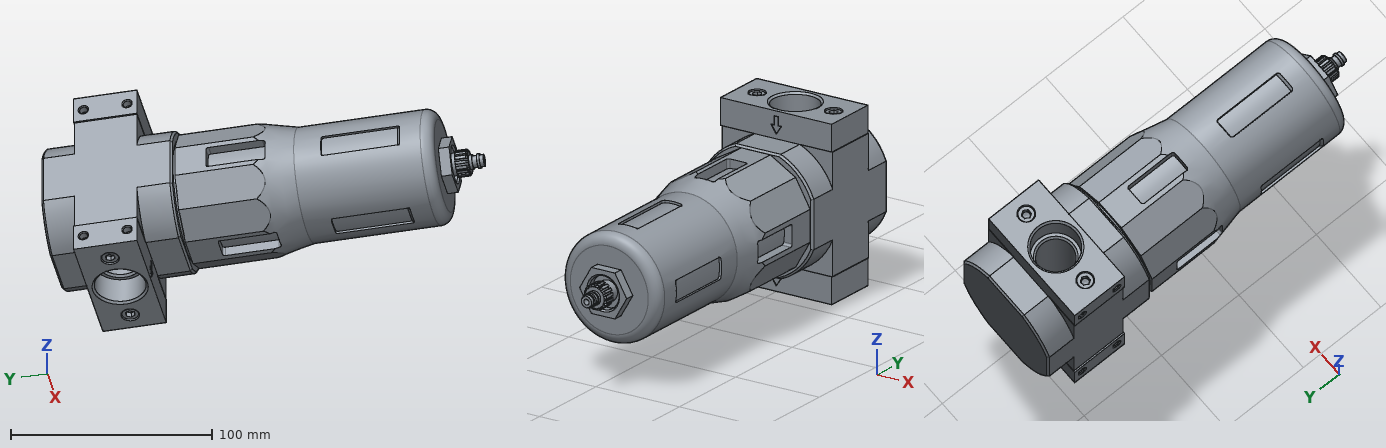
import cadquery as cq
import math


HOUSING_SIZE = 66.3
HOUSING_RADIUS = 35.8
HOUSING_TOP = 32.7
HOUSING_BOTTOM = -33.8
HOUSING_CHAMFER = 1.0
BLOCK_LENGTH = 31.8
PASSAGE_RADIUS = 10.0
PASSAGE_CHAMFER = 1.0

OVERALL_HEIGHT = 96.0
PLATE_LENGTH = 32.3
PLATE_LEFT = -34.0
PLATE_RIGHT = 32.7
PLATE_BASE = HOUSING_SIZE / 2
PLATE_THICKNESS = OVERALL_HEIGHT / 2 - PLATE_BASE
PORT_RADIUS = 12.9
PORT_CHAMFER = 1.0
SIDE_HOLE_DIAMETER = 4.1
SIDE_HOLE_MOUTH_DIAMETER = 5.2
SIDE_HOLE_SPACING = 22.2
SIDE_HOLE_Z = 40.1
SIDE_HOLE_DEPTH = 4.4
POINT_ANGLE = 118
ARROW_DEPTH = 0.5
ARROW_LENGTH = 9.4
ARROW_HEAD_LENGTH = 4.5
ARROW_HEAD_WIDTH = 6.0
ARROW_SHAFT_WIDTH = 2.5
ARROW_Z = 40.3

SCREW_X = 22.9
SCREW_HEAD_RADIUS = 4.1
SCREW_BORE_RADIUS = 4.5
SCREW_HEAD_HEIGHT = 5.2
SCREW_HEAD_SINK = 0.7
SCREW_SHANK_RADIUS = 2.6
SCREW_THREAD_DEPTH = 6.5
SOCKET_DIAMETER = 5.0
SOCKET_DEPTH = 2.6
SOCKET_POINT_DIAMETER = 4.1

NECK_RADIUS = 31.0
COLLAR_SIDES = 12
COLLAR_ACROSS_FLATS = 65.2
COLLAR_CORNER_RADIUS = COLLAR_ACROSS_FLATS / 2 / math.cos(math.pi / COLLAR_SIDES)
COLLAR_TOP = -35.0
SHOULDER_TOP_RADIUS = 34.2
SHOULDER_TOP = -72.8
SHOULDER_BOTTOM = -94.8
BOWL_RADIUS = 29.2
BOWL_BOTTOM = -165.0
BOWL_FILLET = 5.9

WINDOW_COUNT = 4
WINDOW_WIDTH = 12.0
WINDOW_CORNER = 1.3
WINDOW_FLOOR_RADIUS = 28.0
COLLAR_WINDOW_TOP = -51.0
COLLAR_WINDOW_BOTTOM = -80.9
BOWL_WINDOW_TOP = -108.5
BOWL_WINDOW_BOTTOM = -148.7
BOWL_WINDOW_SILL = 1.3

HEX_ACROSS_FLATS = 24.5
HEX_HEIGHT = 5.5
HEX_BOTTOM = BOWL_BOTTOM - HEX_HEIGHT
HEX_RECESS_RADIUS = 9.0
HEX_RECESS_DEPTH = 4.4
HEX_RECESS_CHAMFER = 0.9

DRAIN_STEM_RADIUS = 5.7
KNOB_RADIUS = 6.8
KNOB_TOP = -171.5
KNOB_BOTTOM = -178.0
KNOB_CHAMFER = 0.9
KNURL_COUNT = 16
KNURL_WIDTH = 1.0
DRAIN_SHOULDER_RADIUS = 3.7
DRAIN_SHOULDER_BOTTOM = -179.6
NOZZLE_RADIUS = 3.0
BARB_RADIUS = 3.7
BARB_TOP = -182.0
BARB_BOTTOM = -183.3
DRAIN_BOTTOM = HOUSING_TOP - 218
DRAIN_BORE_DIAMETER = 3.0
DRAIN_BORE_DEPTH = 8.7


def along_y(y):
    """Workplane at height y whose extrusions run toward -Y."""
    return cq.Workplane("XZ", origin=(0, y, 0))


def around_y(shape, count, index):
    """The shape turned to place number index of count equal places about the Y axis."""
    return shape.rotate((0, 0, 0), (0, 1, 0), 360 / count * index)


def below(shape):
    """The shape mirrored from the +Z side to the -Z side."""
    return shape.mirror("XY")


def make_housing(screws):
    length = HOUSING_TOP - HOUSING_BOTTOM
    barrel = along_y(HOUSING_TOP).circle(HOUSING_RADIUS).extrude(length)
    envelope = along_y(HOUSING_TOP).rect(HOUSING_SIZE, HOUSING_SIZE).extrude(length)
    barrel = barrel.intersect(envelope).faces("<Y or >Y").chamfer(HOUSING_CHAMFER)
    block = cq.Workplane("XY").box(HOUSING_SIZE, BLOCK_LENGTH, HOUSING_SIZE)
    housing = barrel.union(block)
    passage = cq.Workplane("XY").circle(PASSAGE_RADIUS).extrude(HOUSING_SIZE / 2, both=True)
    mouth = (
        cq.Workplane("XY", origin=(0, 0, HOUSING_SIZE / 2))
        .circle(PASSAGE_RADIUS + PASSAGE_CHAMFER)
        .workplane(offset=-PASSAGE_CHAMFER)
        .circle(PASSAGE_RADIUS)
        .loft()
    )
    housing = housing.cut(passage).cut(mouth).cut(below(mouth))
    for screw in screws:
        housing = housing.cut(screw)
    return housing


def make_screw(x):
    """Socket head screw in the upper plate at the given x, reaching into the housing."""
    head_top = OVERALL_HEIGHT / 2 - SCREW_HEAD_SINK
    head_base = head_top - SCREW_HEAD_HEIGHT
    shank_length = head_base - PLATE_BASE + SCREW_THREAD_DEPTH
    head = cq.Workplane("XY", origin=(x, 0, head_base)).circle(SCREW_HEAD_RADIUS).extrude(SCREW_HEAD_HEIGHT)
    shank = cq.Workplane("XY", origin=(x, 0, head_base)).circle(SCREW_SHANK_RADIUS).extrude(-shank_length)
    socket = (
        cq.Workplane("XY", origin=(x, 0, head_top))
        .polygon(6, SOCKET_DIAMETER)
        .extrude(-SOCKET_DEPTH)
    )
    point_radius = SOCKET_POINT_DIAMETER / 2
    point = cq.Solid.makeCone(
        point_radius,
        0,
        point_radius / math.tan(math.radians(POINT_ANGLE / 2)),
        pnt=cq.Vector(x, 0, head_top - SOCKET_DEPTH),
        dir=cq.Vector(0, 0, -1),
    )
    return head.union(shank).cut(socket).cut(cq.Workplane(point))


def screw_bore(x):
    """Counterbored hole for a screw through the upper plate."""
    head_base = OVERALL_HEIGHT / 2 - SCREW_HEAD_SINK - SCREW_HEAD_HEIGHT
    counterbore = (
        cq.Workplane("XY", origin=(x, 0, head_base))
        .circle(SCREW_BORE_RADIUS)
        .extrude(PLATE_THICKNESS)
    )
    clearance = (
        cq.Workplane("XY", origin=(x, 0, PLATE_BASE))
        .circle(SCREW_SHANK_RADIUS)
        .extrude(PLATE_THICKNESS)
    )
    return counterbore.union(clearance)


def side_hole(y):
    """Countersunk blind hole with a conical end in the -X face of the upper plate."""
    radius = SIDE_HOLE_DIAMETER / 2
    point = radius / math.tan(math.radians(POINT_ANGLE / 2))
    mouth_radius = SIDE_HOLE_MOUTH_DIAMETER / 2
    start = PLATE_LEFT
    profile = [
        (start, 0),
        (start, mouth_radius),
        (start + mouth_radius - radius, radius),
        (start + SIDE_HOLE_DEPTH, radius),
        (start + SIDE_HOLE_DEPTH + point, 0),
    ]
    drill = cq.Workplane("XY").polyline(profile).close().revolve(360, (0, 0, 0), (1, 0, 0))
    return drill.translate((0, y, SIDE_HOLE_Z))


def flow_arrow(z):
    """Engraving tool for an arrow pointing to -Z on the -Y face of a plate."""
    tip = z - ARROW_LENGTH / 2
    barb = tip + ARROW_HEAD_LENGTH
    tail = z + ARROW_LENGTH / 2
    outline = [
        (0, tip),
        (ARROW_HEAD_WIDTH / 2, barb),
        (ARROW_SHAFT_WIDTH / 2, barb),
        (ARROW_SHAFT_WIDTH / 2, tail),
        (-ARROW_SHAFT_WIDTH / 2, tail),
        (-ARROW_SHAFT_WIDTH / 2, barb),
        (-ARROW_HEAD_WIDTH / 2, barb),
    ]
    arrow_middle = (PLATE_LEFT + PLATE_RIGHT) / 2
    arrow = along_y(ARROW_DEPTH - PLATE_LENGTH / 2).polyline(outline).close().extrude(ARROW_DEPTH)
    return arrow.translate((arrow_middle, 0, 0))


def make_plate():
    """Upper plate without its arrow."""
    plate = cq.Workplane("XY").box(
        PLATE_RIGHT - PLATE_LEFT, PLATE_LENGTH, PLATE_THICKNESS, centered=(False, True, False)
    )
    plate = plate.translate((PLATE_LEFT, 0, PLATE_BASE))
    port = cq.Workplane("XY").circle(PORT_RADIUS).extrude(OVERALL_HEIGHT)
    port_mouth = (
        cq.Workplane("XY", origin=(0, 0, OVERALL_HEIGHT / 2))
        .circle(PORT_RADIUS + PORT_CHAMFER)
        .workplane(offset=-PORT_CHAMFER)
        .circle(PORT_RADIUS)
        .loft()
    )
    plate = plate.cut(port).cut(port_mouth)
    for side in (-1, 1):
        plate = plate.cut(screw_bore(side * SCREW_X))
        plate = plate.cut(side_hole(side * SIDE_HOLE_SPACING / 2))
    return plate


def window_cutter(top, bottom, sill):
    """Round-cornered window on the +Z side, down to a cylindrical floor that may rise to a sloping sill."""
    cutter = (
        cq.Workplane("XY", origin=(0, (top + bottom) / 2, 0))
        .rect(WINDOW_WIDTH, top - bottom)
        .extrude(COLLAR_ACROSS_FLATS)
        .edges("|Z")
        .fillet(WINDOW_CORNER)
    )
    sill_top = bottom + sill
    core = along_y(top).circle(WINDOW_FLOOR_RADIUS).extrude(top - sill_top)
    if sill > 0:
        slope = cq.Solid.makeCone(
            WINDOW_FLOOR_RADIUS,
            WINDOW_FLOOR_RADIUS + sill,
            sill,
            pnt=cq.Vector(0, sill_top, 0),
            dir=cq.Vector(0, -1, 0),
        )
        core = core.union(cq.Workplane(slope))
    return cutter.cut(core)


def make_bowl():
    """Faceted collar, conical shoulder and round bowl, with the neck that meets the housing."""
    profile = (
        cq.Workplane("XY")
        .moveTo(0, COLLAR_TOP)
        .lineTo(SHOULDER_TOP_RADIUS, COLLAR_TOP)
        .lineTo(SHOULDER_TOP_RADIUS, SHOULDER_TOP)
        .lineTo(BOWL_RADIUS, SHOULDER_BOTTOM)
        .lineTo(BOWL_RADIUS, BOWL_BOTTOM)
        .lineTo(0, BOWL_BOTTOM)
        .close()
    )
    bowl = profile.revolve(360, (0, 0, 0), (0, 1, 0))
    bowl = bowl.faces("<Y").edges().fillet(BOWL_FILLET)
    facets = along_y(COLLAR_TOP).polygon(COLLAR_SIDES, 2 * COLLAR_CORNER_RADIUS)
    facets = around_y(facets.extrude(COLLAR_TOP - BOWL_BOTTOM), 2 * COLLAR_SIDES, 1)
    bowl = bowl.intersect(facets)
    neck = along_y(HOUSING_BOTTOM).circle(NECK_RADIUS).extrude(HOUSING_BOTTOM - COLLAR_TOP)
    bowl = bowl.union(neck)
    collar_window = window_cutter(COLLAR_WINDOW_TOP, COLLAR_WINDOW_BOTTOM, 0)
    bowl_window = window_cutter(BOWL_WINDOW_TOP, BOWL_WINDOW_BOTTOM, BOWL_WINDOW_SILL)
    for index in range(WINDOW_COUNT):
        bowl = bowl.cut(around_y(collar_window, WINDOW_COUNT, index))
        bowl = bowl.cut(around_y(bowl_window, WINDOW_COUNT, index))
    return bowl


def make_hexagon():
    """Hexagon with a chamfered recess round the drain screw."""
    hexagon = along_y(BOWL_BOTTOM).polygon(6, HEX_ACROSS_FLATS / math.cos(math.pi / 6)).extrude(HEX_HEIGHT)
    recess = along_y(HEX_BOTTOM).circle(HEX_RECESS_RADIUS).extrude(-HEX_RECESS_DEPTH)
    mouth = (
        along_y(HEX_BOTTOM)
        .circle(HEX_RECESS_RADIUS + HEX_RECESS_CHAMFER)
        .workplane(offset=-HEX_RECESS_CHAMFER)
        .circle(HEX_RECESS_RADIUS)
        .loft()
    )
    stem_hole = along_y(BOWL_BOTTOM).circle(DRAIN_STEM_RADIUS).extrude(HEX_HEIGHT)
    return hexagon.cut(recess).cut(mouth).cut(stem_hole)


def make_drain():
    """Drain screw: stem in the hexagon, knurled knob, and a barbed nozzle."""
    profile = [
        (0, BOWL_BOTTOM),
        (DRAIN_STEM_RADIUS, BOWL_BOTTOM),
        (DRAIN_STEM_RADIUS, KNOB_TOP),
        (KNOB_RADIUS, KNOB_TOP),
        (KNOB_RADIUS, KNOB_BOTTOM + KNOB_CHAMFER),
        (KNOB_RADIUS - KNOB_CHAMFER, KNOB_BOTTOM),
        (DRAIN_SHOULDER_RADIUS, KNOB_BOTTOM),
        (DRAIN_SHOULDER_RADIUS, DRAIN_SHOULDER_BOTTOM),
        (NOZZLE_RADIUS, DRAIN_SHOULDER_BOTTOM),
        (NOZZLE_RADIUS, BARB_TOP),
        (BARB_RADIUS, BARB_TOP),
        (BARB_RADIUS, BARB_BOTTOM),
        (NOZZLE_RADIUS, BARB_BOTTOM),
        (NOZZLE_RADIUS, DRAIN_BOTTOM),
        (0, DRAIN_BOTTOM),
    ]
    drain = cq.Workplane("XY").polyline(profile).close().revolve(360, (0, 0, 0), (0, 1, 0))
    knurl = (
        along_y(KNOB_TOP)
        .center(0, DRAIN_STEM_RADIUS + KNOB_RADIUS / 2)
        .rect(KNURL_WIDTH, KNOB_RADIUS)
        .extrude(KNOB_TOP - KNOB_BOTTOM)
    )
    for index in range(KNURL_COUNT):
        drain = drain.cut(around_y(knurl, KNURL_COUNT, index))
    bore = along_y(DRAIN_BOTTOM).circle(DRAIN_BORE_DIAMETER / 2).extrude(-DRAIN_BORE_DEPTH)
    return drain.cut(bore)


upper_screws = [make_screw(side * SCREW_X) for side in (-1, 1)]
screws = upper_screws + [below(screw) for screw in upper_screws]
housing = make_housing(screws)
plain_plate = make_plate()
upper_plate = plain_plate.cut(flow_arrow(ARROW_Z))
lower_plate = below(plain_plate).cut(flow_arrow(-ARROW_Z))
plates = [upper_plate, lower_plate]
bowl = make_bowl()
hexagon = make_hexagon()
drain = make_drain()

bodies = [housing, *plates, *screws, bowl, hexagon, drain]
result = cq.Compound.makeCompound([body.solids().val() for body in bodies])